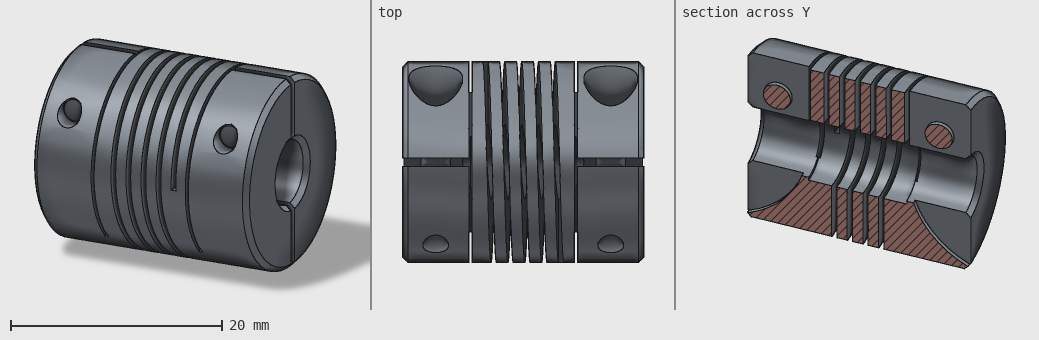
import cadquery as cq
import math


length = 22.85
outer_diameter = 19.05
outer_radius = outer_diameter / 2
chamfer = 0.5
hub_bore_radius = 3.18
spring_bore_radius = 3.52

slit_width = 0.32
slit_center = 5.0
web_angle = 88.0

helix_pitch = 1.6
helix_turns = 4.5
helix_width = 0.5
helix_length = helix_pitch * helix_turns

slot_width = 0.8
cutter_radius = 9.85
cutter_offset = 15.06

screw_x = 8.3
screw_z = 5.33
tapped_radius = 1.21
shank_radius = 1.42
shank_tip_y = -6.88
shank_tip_chamfer = 0.35
counterbore_radius = 2.55
counterbore_floor_y = 4.8

clearance = 0.45
cut_radius = outer_radius + clearance
ends = (-1, 1)


def x_cylinder(radius, x_start, x_end):
    """Cylinder on the shaft axis between two X positions."""
    return cq.Workplane("YZ", origin=(x_start, 0, 0)).circle(radius).extrude(x_end - x_start)


def y_cylinder(radius, x, z, y_start, y_end):
    """Cylinder parallel to Y between two Y positions."""
    plane = cq.Plane(origin=(x, y_start, z), xDir=(1, 0, 0), normal=(0, 1, 0))
    return cq.Workplane(plane).circle(radius).extrude(y_end - y_start)


def make_body():
    """Chamfered bar with a bore that widens between the slit centres."""
    half = length / 2
    half_profile = [
        (0, spring_bore_radius),
        (slit_center, spring_bore_radius),
        (slit_center, hub_bore_radius),
        (half - chamfer, hub_bore_radius),
        (half, hub_bore_radius + chamfer),
        (half, outer_radius - chamfer),
        (half - chamfer, outer_radius),
        (0, outer_radius),
    ]
    right_half = cq.Workplane("XY").polyline(half_profile).close().revolve(360, (0, 0, 0), (1, 0, 0))
    return right_half.union(right_half.mirror("YZ"))


def make_slit(end):
    """Disc cutter with a wedge missing at the bottom, so that a web of material stays."""
    x_start = end * slit_center - slit_width / 2
    disc = x_cylinder(cut_radius, x_start, x_start + slit_width)
    wedge_depth = 2 * cut_radius
    wedge_half_width = wedge_depth * math.tan(math.radians(web_angle / 2))
    wedge = (
        cq.Workplane("YZ", origin=(x_start, 0, 0))
        .polyline([(0, 0), (-wedge_half_width, -wedge_depth), (wedge_half_width, -wedge_depth)])
        .close()
        .extrude(slit_width)
    )
    return disc.cut(wedge)


def make_helical_cut():
    """Right-hand helical cut that starts on the +Y side and ends on the -Y side."""
    inner_radius = spring_bore_radius - clearance
    start_plane = cq.Plane(origin=(-helix_length / 2, 0, 0), xDir=(0, 1, 0), normal=(1, 0, 0))
    path = cq.Wire.makeHelix(helix_pitch, helix_length, spring_bore_radius)
    cut = (
        cq.Workplane("XZ")
        .center((inner_radius + cut_radius) / 2, 0)
        .rect(cut_radius - inner_radius, helix_width)
        .sweep(cq.Workplane(path), isFrenet=True)
    )
    return cq.Workplane(cut.val().moved(start_plane.location))


def make_clamp_slots(end):
    """Straight slot above the bore and a round-bottomed slot below it."""
    slot_length = length / 2 - slit_center
    top_slot = (
        cq.Workplane("XY", origin=(end * (slit_center + slot_length / 2), 0, 0))
        .box(slot_length, slot_width, cut_radius, centered=(True, True, False))
    )
    bottom_slot = y_cylinder(cutter_radius, end * cutter_offset, 0, -slot_width / 2, slot_width / 2)
    return top_slot.union(bottom_slot)


def make_screw_holes(end):
    """Tapped hole from -Y and counterbore from +Y on one axis."""
    x = end * screw_x
    tapped_hole = y_cylinder(tapped_radius, x, screw_z, -cut_radius, 0)
    counterbore = y_cylinder(counterbore_radius, x, screw_z, counterbore_floor_y, cut_radius)
    return tapped_hole.union(counterbore)


def make_screw_shank(end):
    """Shank that bridges the clamp slot, with its tip chamfered to fit inside the tapped hole."""
    shank = y_cylinder(shank_radius, end * screw_x, screw_z, shank_tip_y, counterbore_floor_y)
    return shank.faces("<Y").chamfer(shank_tip_chamfer)


result = make_body()
for end in ends:
    result = result.cut(make_slit(end))
    result = result.cut(make_clamp_slots(end))
    result = result.cut(make_screw_holes(end))
    result = result.union(make_screw_shank(end))
result = result.cut(make_helical_cut())